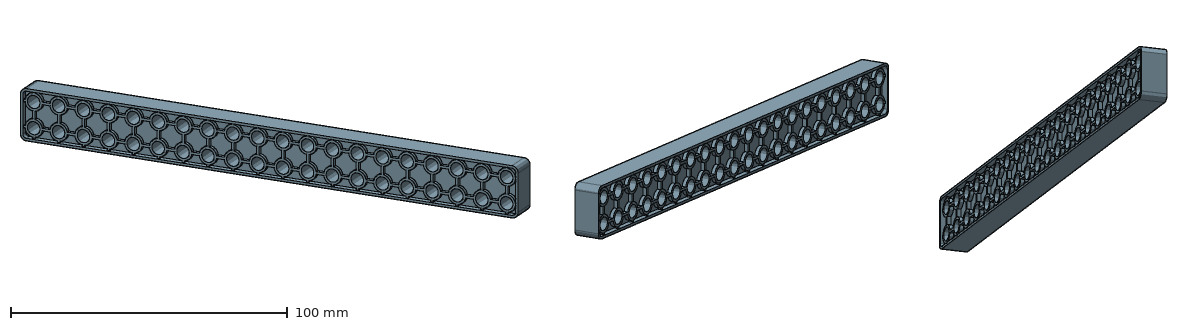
import cadquery as cq

length = 200.0
depth = 10.0
height = 20.01
corner_radius = 2.5
front_y = -depth / 2

pitch = 10.0
hole_diameter = 5.0
column_count = 20
row_count = 2

rim_thickness = 1.0
pocket_depth = 2.3
lattice_recess = 0.8
rib_thickness = 1.0
boss_diameter = 7.0


def centred_positions(count):
    """Positions at the grid pitch, spread evenly about zero."""
    return [(index - (count - 1) / 2) * pitch for index in range(count)]


column_positions = centred_positions(column_count)
row_positions = centred_positions(row_count)
hole_points = [(x, z) for x in column_positions for z in row_positions]


def front_plane(y):
    """Workplane at the given Y with local axes X and Z; extruding a negative length goes toward +Y."""
    return cq.Workplane("XZ", origin=(0, y, 0))


def rounded_block(inset, thickness):
    """Bar outline shrunk by inset, running back from the front face."""
    return (
        front_plane(front_y)
        .rect(length - 2 * inset, height - 2 * inset)
        .extrude(-thickness)
        .edges("|Y")
        .fillet(corner_radius - inset)
    )


def cylinders(diameter, y, thickness):
    """One cylinder at every hole position."""
    return front_plane(y).pushPoints(hole_points).circle(diameter / 2).extrude(-thickness)


def lattice():
    """Hole bosses joined to each other and to the rim by ribs along every row and column."""
    lattice_y = front_y + lattice_recess
    thickness = pocket_depth - lattice_recess
    bosses = cylinders(boss_diameter, lattice_y, thickness)
    row_ribs = (
        front_plane(lattice_y)
        .pushPoints([(0, z) for z in row_positions])
        .rect(length, rib_thickness)
        .extrude(-thickness)
    )
    column_ribs = (
        front_plane(lattice_y)
        .pushPoints([(x, 0) for x in column_positions])
        .rect(rib_thickness, height)
        .extrude(-thickness)
    )
    return bosses.union(row_ribs).union(column_ribs)


bar = rounded_block(0, depth)
pocket = rounded_block(rim_thickness, pocket_depth).cut(lattice())
through_holes = cylinders(hole_diameter, front_y, depth)

result = bar.cut(pocket).cut(through_holes)